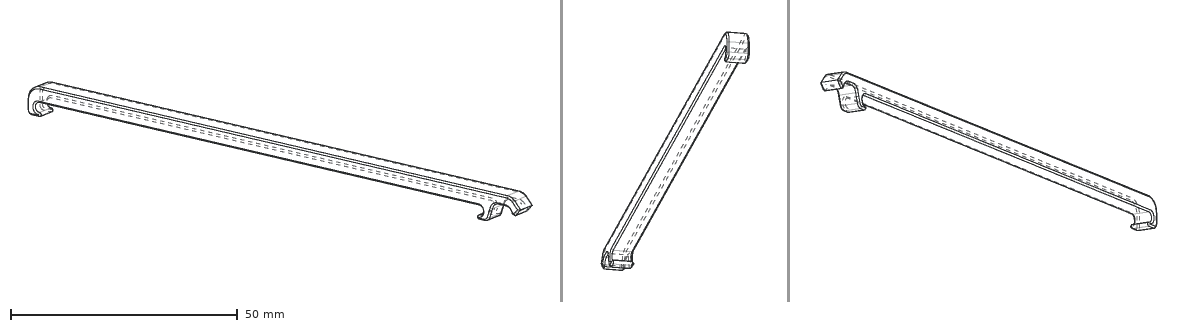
import cadquery as cq
import math

length = 136.3
width = 5.0
height = 7.0
edge_chamfer = 0.4

beam_bottom = 3.3
heel_radius = 3.4

lip_thickness = 1.0
lip_radius = lip_thickness / 2
pocket_radius = (beam_bottom - lip_thickness) / 2
pocket_middle = lip_thickness + pocket_radius
left_hook_x = 3.1
right_hook_x = 124.9
hook_corner_radius = 1.1

right_wall_foot_x = 127.5
right_wall_top = (128.5, 3.1)
corner_setback = 1.0
wall_angle = math.atan2(right_wall_top[1], right_wall_top[0] - right_wall_foot_x)
right_corner_end = (
    right_wall_foot_x + corner_setback * math.cos(wall_angle),
    corner_setback * math.sin(wall_angle),
)
right_bottom_end = (right_wall_foot_x - corner_setback, 0)

notch_top = 4.5
notch_start_x = 130.2
notch_end_x = 132.2
notch_end_middle = (133.2, 4.2)

tab_bend_start_x = 132.6
tab_bend_end = (134.7, 6.1)
tab_tip = (length, 4.4)
tab_heel = (134.8, 2.7)
tab_throat = (134.0, 3.0)


def quarter_middle(center_x, center_z, radius, side_x, side_z):
    """Point halfway along a quarter circle, on the given side of its centre."""
    offset = radius * math.sqrt(0.5)
    return (center_x + side_x * offset, center_z + side_z * offset)


heel_middle = quarter_middle(heel_radius, height - heel_radius, heel_radius, -1, 1)
hook_corner_middle = quarter_middle(hook_corner_radius, hook_corner_radius, hook_corner_radius, -1, -1)

profile = (
    cq.Workplane("XZ", origin=(0, width / 2, 0))
    .moveTo(heel_radius, height)
    .lineTo(tab_bend_start_x, height)
    .tangentArcPoint(tab_bend_end, relative=False)
    .lineTo(*tab_tip)
    .lineTo(*tab_heel)
    .lineTo(*tab_throat)
    .threePointArc(notch_end_middle, (notch_end_x, notch_top))
    .lineTo(notch_start_x, notch_top)
    .tangentArcPoint(right_wall_top, relative=False)
    .lineTo(*right_corner_end)
    .tangentArcPoint(right_bottom_end, relative=False)
    .lineTo(right_hook_x, 0)
    .threePointArc((right_hook_x - lip_radius, lip_radius), (right_hook_x, lip_thickness))
    .threePointArc((right_hook_x + pocket_radius, pocket_middle), (right_hook_x, beam_bottom))
    .lineTo(left_hook_x, beam_bottom)
    .threePointArc((left_hook_x - pocket_radius, pocket_middle), (left_hook_x, lip_thickness))
    .threePointArc((left_hook_x + lip_radius, lip_radius), (left_hook_x, 0))
    .lineTo(hook_corner_radius, 0)
    .threePointArc(hook_corner_middle, (0, hook_corner_radius))
    .lineTo(0, height - heel_radius)
    .threePointArc(heel_middle, (heel_radius, height))
    .close()
)

result = profile.extrude(width).faces("<Y or >Y").chamfer(edge_chamfer)